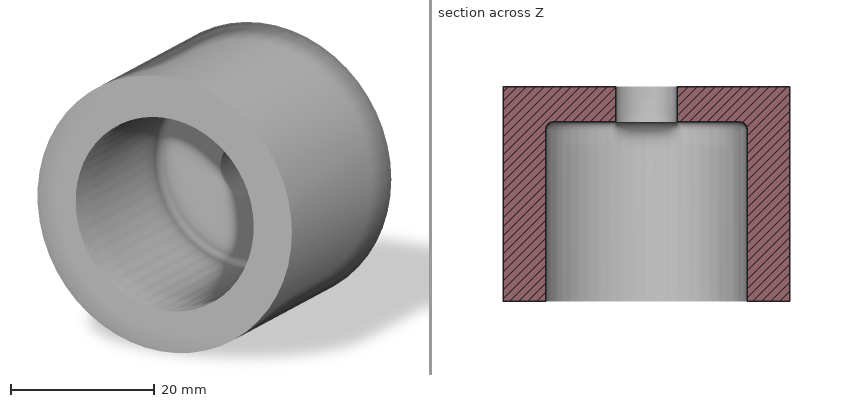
import cadquery as cq

outer_diameter = 40.0
length = 30.0
bore_diameter = 28.0
floor_thickness = 5.0
floor_fillet_radius = 1.0
hole_diameter = 8.5

open_end_y = -length / 2
closed_end_y = length / 2
floor_y = closed_end_y - floor_thickness


def cylinder_from_open_end(diameter, end_y):
    """Cylinder along Y, reaching from the open end of the cup to end_y."""
    return (
        cq.Workplane("XZ", origin=(0, end_y, 0))
        .circle(diameter / 2)
        .extrude(end_y - open_end_y)
    )


body = cylinder_from_open_end(outer_diameter, closed_end_y)

bore = (
    cylinder_from_open_end(bore_diameter, floor_y)
    .faces(">Y")
    .edges()
    .fillet(floor_fillet_radius)
)

floor_hole = cylinder_from_open_end(hole_diameter, closed_end_y)

result = body.cut(bore).cut(floor_hole)